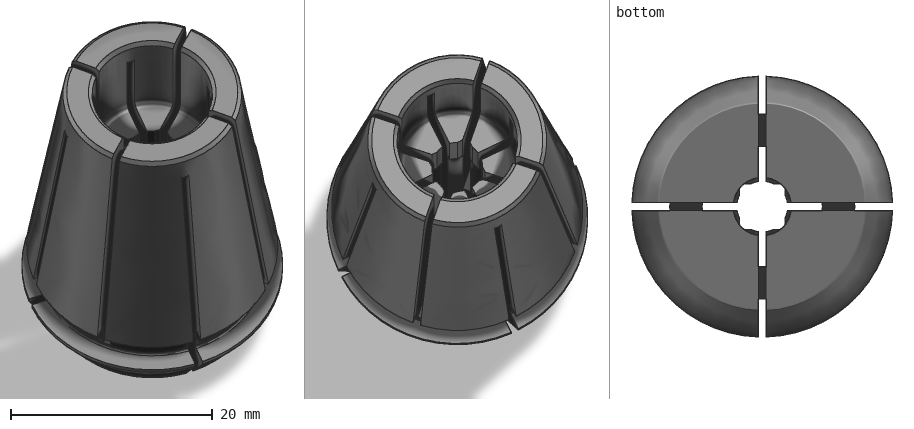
import cadquery as cq
import math

height = 34.0
rim_radius = 12.92

rim_bottom = 4.55
rim_top = 5.0
nose_angle = 30.0
nose_radius = rim_radius - rim_bottom * math.tan(math.radians(nose_angle))

edge_fillet = 0.2

groove_radius = 11.0

taper_bottom = 8.13
taper_radius = 12.45
taper_angle = 8.0
top_radius = taper_radius - (height - taper_bottom) * math.tan(math.radians(taper_angle))
top_chamfer = 0.35

shank_radius = 2.9
shank_depth = 18.0
square_side = 4.5
relief_radius = 2.5
bore_radius = 5.95
bore_floor = 24.0
bore_floor_fillet = 0.75
bore_chamfer = 0.37

slot_width = 0.78
slot_length = 3 * rim_radius
nose_slot_top = 31.5
back_slot_floor = 5.4


def build_body():
    """Revolved outer shape with a rounded groove and nose edge and a chamfered top edge."""
    body = (
        cq.Workplane("XZ")
        .moveTo(0, 0)
        .lineTo(nose_radius, 0)
        .lineTo(rim_radius, rim_bottom)
        .lineTo(rim_radius, rim_top)
        .lineTo(groove_radius, rim_top)
        .lineTo(groove_radius, taper_bottom)
        .lineTo(taper_radius, taper_bottom)
        .lineTo(top_radius, height)
        .lineTo(0, height)
        .close()
        .revolve(360, (0, 0), (0, 1))
    )
    margin = 0.05
    reach = groove_radius + margin
    groove_corners = cq.selectors.BoxSelector(
        (-reach, -reach, rim_top - margin),
        (reach, reach, taper_bottom + margin),
        boundingbox=True,
    )
    body = body.edges(groove_corners).fillet(edge_fillet)
    body = body.faces("<Z").edges().fillet(edge_fillet)
    return body.faces(">Z").edges().chamfer(top_chamfer)


def build_bore():
    """Everything removed along the axis, from the nose end to the top."""
    shank_hole = cq.Workplane("XY").circle(shank_radius).extrude(shank_depth)
    relief_hole = cq.Workplane("XY").circle(relief_radius).extrude(height)
    square_drive = (
        cq.Workplane("XY")
        .rect(square_side, square_side)
        .extrude(height)
        .intersect(cq.Workplane("XY").circle(shank_radius).extrude(height))
    )
    upper_bore = (
        cq.Workplane("XY")
        .workplane(offset=bore_floor)
        .circle(bore_radius)
        .extrude(height - bore_floor)
        .faces("<Z")
        .edges()
        .fillet(bore_floor_fillet)
    )
    mouth = cq.Workplane("XY").add(
        cq.Solid.makeCone(
            bore_radius,
            bore_radius + bore_chamfer,
            bore_chamfer,
            pnt=cq.Vector(0, 0, height - bore_chamfer),
        )
    )
    return shank_hole.union(relief_hole).union(square_drive).union(upper_bore).union(mouth)


def slot_cross(bottom, top, turn):
    """Two crossing slots through the axis, turned about Z by the given angle."""
    cross = cq.Workplane("XY")
    for angle in (turn, turn + 90):
        slot = (
            cq.Workplane("XY")
            .workplane(offset=bottom)
            .rect(slot_length, slot_width)
            .extrude(top - bottom)
            .rotate((0, 0, 0), (0, 0, 1), angle)
        )
        cross = cross.union(slot)
    return cross


nose_slots = slot_cross(0, nose_slot_top, 0)
back_slots = slot_cross(back_slot_floor, height, 45)

result = build_body().cut(build_bore()).cut(nose_slots).cut(back_slots)